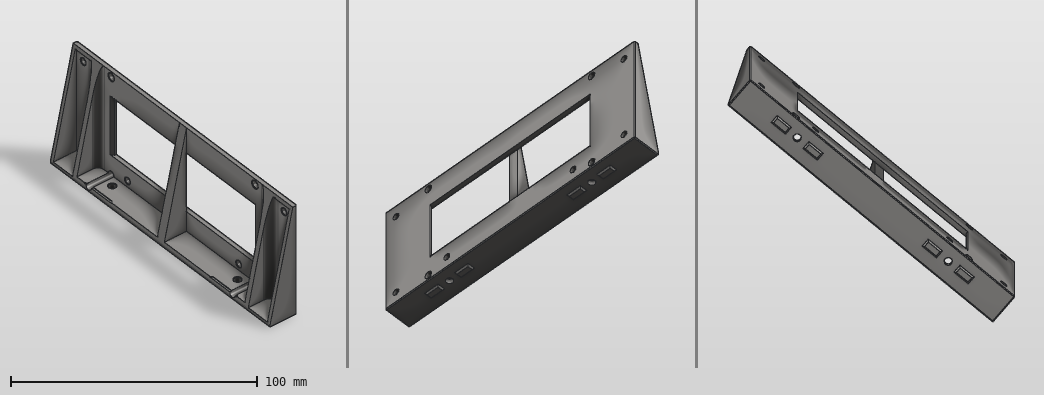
import cadquery as cq

width = 140.6
height = 56.0
depth = 14.0
top_thickness = 2.1
front_edge_height = 1.3
edge_chamfer = 0.4
clear_y = 2 * depth
clear_z = 2 * height

plate = top_thickness
shelf = 3.0
middle_half_width = 53.7
middle_fillet = 3.4
centre_rib = 4.5

end_wall = 1.8
side_rib = 2.5
end_bay_fillet = 4.2

window_height = 30.0
window_half_width = 45.1
window_flare = 1.4
straight_jamb = 1.1

end_hole_diameter = 3.1
end_hole_x = 64.3
end_hole_inset = 6.0
corner_hole_diameter = 3.5
corner_hole_x = 46.0
plate_hole_diameter = 3.1
plate_hole_x = 35.6
mouth_chamfer = 0.3

mount_x = 40.1
mount_y = -6.3
mount_hole_diameter = 3.2
stud_spacing = 16.9
stud_length = 7.6
stud_width = 3.8
stud_height = 0.8
stud_taper = 0.7

step_half_length = 8.7
step_width = 0.8
step_depth = 0.3

slope = (depth - top_thickness) / (height - front_edge_height)


def front_y(z):
    """Y of the sloped front face at height z."""
    return -top_thickness - (height - z) * slope


def box(x0, x1, y0, y1, z0, z1):
    return cq.Workplane("XY").box(x1 - x0, y1 - y0, z1 - z0, centered=False).translate((x0, y0, z0))


def wedge():
    profile = [(0, 0), (-depth, 0), (-depth, front_edge_height), (-top_thickness, height), (0, height)]
    body = cq.Workplane("YZ").polyline(profile).close().extrude(width / 2, both=True)
    return body.edges("<Z or (|Z and >Y)").chamfer(edge_chamfer)


def middle_bay():
    bay = box(-middle_half_width, middle_half_width, -clear_y, -plate, shelf, clear_z)
    bay = bay.edges("|Z and >Y").fillet(middle_fillet)
    return bay.cut(box(-centre_rib / 2, centre_rib / 2, -clear_y, 0, 0, clear_z))


def end_bay(side):
    inner = middle_half_width + side_rib
    outer = width / 2 - end_wall
    bay = box(inner, outer, -clear_y, -end_wall, end_wall, height - end_wall)
    bay = bay.edges("|Z and >Y and <X").fillet(end_bay_fillet)
    return bay if side > 0 else bay.mirror("YZ")


def window():
    flared = window_half_width + window_flare
    outline = [(-window_half_width, 0), (window_half_width, 0), (window_half_width, -straight_jamb),
               (flared, -plate), (-flared, -plate), (-window_half_width, -straight_jamb)]
    opening = cq.Workplane("XY").polyline(outline).close().extrude(window_height)
    return opening.translate((0, 0, (height - window_height) / 2))


def screw_hole(diameter, thickness):
    """Hole along +Z from z = 0, with a chamfered mouth at z = thickness."""
    radius = diameter / 2
    mouth = radius + mouth_chamfer
    profile = [(0, 0), (radius, 0), (radius, thickness - mouth_chamfer), (mouth, thickness), (0, thickness)]
    return cq.Workplane("XZ").polyline(profile).close().revolve(360, (0, 0), (0, 1))


def plate_hole(x, z, diameter, thickness):
    """Screw hole from the back face toward -Y."""
    hole = screw_hole(diameter, thickness).rotate((0, 0, 0), (1, 0, 0), 90)
    return hole.translate((x, 0, z))


def groove(x):
    """Passage along Y at shelf level: a hole in the plate, a half-round groove in the shelf."""
    return cq.Workplane("XZ").center(x, shelf).circle(corner_hole_diameter / 2).extrude(depth)


def stud(x):
    base = cq.Workplane("XY").center(x, mount_y).rect(stud_length, stud_width)
    top = base.workplane(offset=-stud_height).rect(stud_length - 2 * stud_taper, stud_width - 2 * stud_taper)
    return top.loft(ruled=True)


def front_step(x):
    edge = front_y(shelf)
    inner_half_length = step_half_length - step_width
    inner_edge = edge + step_width
    outline = [(-step_half_length, edge), (-inner_half_length, inner_edge), (inner_half_length, inner_edge),
               (step_half_length, edge), (step_half_length, -clear_y), (-step_half_length, -clear_y)]
    step = cq.Workplane("XY").polyline(outline).close().extrude(step_depth)
    return step.translate((x, 0, shelf - step_depth))


result = wedge().cut(middle_bay()).cut(window())

for side in (-1, 1):
    result = result.cut(end_bay(side))
    for z in (end_hole_inset, height - end_hole_inset):
        result = result.cut(plate_hole(side * end_hole_x, z, end_hole_diameter, end_wall))
    result = result.cut(plate_hole(side * plate_hole_x, end_hole_inset, plate_hole_diameter, plate))
    result = result.cut(plate_hole(side * corner_hole_x, height - shelf, corner_hole_diameter, plate))
    result = result.cut(groove(side * corner_hole_x))

    mount = side * mount_x
    result = result.cut(front_step(mount))
    result = result.cut(screw_hole(mount_hole_diameter, shelf).translate((mount, mount_y, 0)))
    for offset in (-stud_spacing / 2, stud_spacing / 2):
        result = result.union(stud(mount + offset))